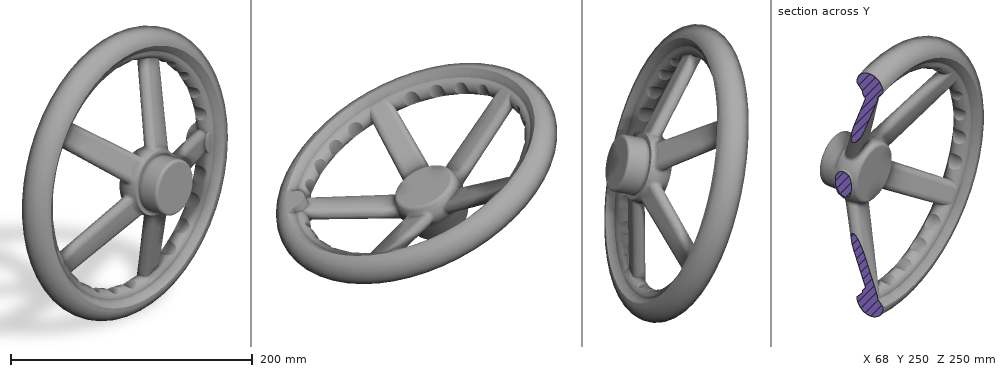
import cadquery as cq
import math


rim_outer_radius = 125.0
grip_radius = 13.6
bead_crest_radius = 105.7
bead_radius = 8.2
grip_centre_radius = rim_outer_radius - grip_radius
rim_mid_x = grip_radius
rim_depth = 2 * grip_radius
rim_inner_radius = bead_crest_radius - bead_radius

spoke_count = 5
spoke_pitch = 360.0 / spoke_count
spoke_slope = 21.0
spoke_thickness = 10.6
spoke_hub_width = 25.2
spoke_rim_width = 22.0
spoke_edge_radius = 5.0
spoke_root_radius = 20.0
spoke_tip_radius = 104.0
spoke_tip_x = 10.8

spoke_hub_fillet = 3.0
joint_front_x = 32.0
joint_rear_x = 47.0

dimples_per_gap = 4
dimple_pitch = 13.5
dimple_radius = 8.0
dimple_bottom_radius = 100.9

boss_centre_radius = 106.0
boss_radius = 11.0
boss_flare_radius = 110.3
boss_flare_half_width = 15.2
boss_depth = 21.0

hub_front_x = 28.5
hub_widest_x = 41.4
hub_shoulder_x = 49.0
hub_end_x = 68.0
hub_front_radius = 25.4
hub_widest_radius = 29.1
hub_shoulder_radius = 27.8
hub_front_fillet = 3.0
neck_diameter = 48.0
neck_end_fillet = 2.5


def make_rim():
    """Revolve the grip, the sloped shoulders and the bead as one profile."""
    bead_front_x = rim_mid_x - bead_radius
    bead_rear_x = rim_mid_x + bead_radius
    profile = (
        cq.Workplane("XY")
        .moveTo(0, grip_centre_radius)
        .threePointArc((rim_mid_x, rim_outer_radius), (rim_depth, grip_centre_radius))
        .lineTo(bead_rear_x, bead_crest_radius)
        .threePointArc((rim_mid_x, rim_inner_radius), (bead_front_x, bead_crest_radius))
        .close()
    )
    return profile.revolve(360, (0, 0, 0), (1, 0, 0))


def make_dimple_cutter():
    """All finger dimples, as cylinders parallel to the wheel axis."""
    centre_radius = dimple_bottom_radius - dimple_radius
    first_offset = -dimple_pitch * (dimples_per_gap - 1) / 2
    points = []
    for gap in range(spoke_count):
        gap_middle = (gap + 0.5) * spoke_pitch
        for index in range(dimples_per_gap):
            angle = math.radians(gap_middle + first_offset + index * dimple_pitch)
            points.append((centre_radius * math.cos(angle), centre_radius * math.sin(angle)))
    return cq.Workplane("YZ").pushPoints(points).circle(dimple_radius).extrude(rim_depth)


def make_hub():
    """Barrel-shaped hub body with a rounded front and a narrower neck behind it."""
    body = (
        cq.Workplane("XY")
        .moveTo(hub_front_x, 0)
        .lineTo(hub_front_x, hub_front_radius)
        .threePointArc((hub_widest_x, hub_widest_radius), (hub_shoulder_x, hub_shoulder_radius))
        .lineTo(hub_shoulder_x, 0)
        .close()
        .revolve(360, (0, 0, 0), (1, 0, 0))
        .faces("<X").edges().fillet(hub_front_fillet)
    )
    neck = (
        cq.Workplane("YZ", origin=(hub_shoulder_x, 0, 0))
        .circle(neck_diameter / 2)
        .extrude(hub_end_x - hub_shoulder_x)
        .faces(">X").edges().fillet(neck_end_fillet)
    )
    return body.union(neck)


def make_spoke():
    """One tapered spoke along +Y, leaning forward from the hub to the rim."""
    slope = math.radians(spoke_slope)
    length = (spoke_tip_radius - spoke_root_radius) / math.cos(slope)
    root_x = spoke_tip_x + length * math.sin(slope)
    root_plane = cq.Plane(
        origin=(root_x, spoke_root_radius, 0),
        xDir=(0, 0, 1),
        normal=(-math.sin(slope), math.cos(slope), 0),
    )
    root = cq.Sketch().rect(spoke_hub_width, spoke_thickness).vertices().fillet(spoke_edge_radius)
    tip = cq.Sketch().rect(spoke_rim_width, spoke_thickness).vertices().fillet(spoke_edge_radius)
    tip_location = cq.Location(cq.Vector(0, 0, length))
    return cq.Workplane(root_plane).placeSketch(root, tip.moved(tip_location)).loft()


def make_handle_boss():
    """Flat-faced boss: a rounded nose that flares out into the grip."""
    nose_radius = boss_centre_radius - boss_radius
    return (
        cq.Workplane("YZ")
        .moveTo(grip_centre_radius, boss_flare_half_width)
        .lineTo(boss_flare_radius, boss_flare_half_width)
        .lineTo(boss_centre_radius, boss_radius)
        .threePointArc((nose_radius, 0), (boss_centre_radius, -boss_radius))
        .lineTo(boss_flare_radius, -boss_flare_half_width)
        .lineTo(grip_centre_radius, -boss_flare_half_width)
        .close()
        .extrude(boss_depth)
    )


def make_spider():
    """Hub and spokes, with the spokes blended into the hub."""
    spider = make_hub()
    spoke = make_spoke()
    for index in range(spoke_count):
        spider = spider.union(spoke.rotate((0, 0, 0), (1, 0, 0), index * spoke_pitch))
    joint_zone = cq.selectors.BoxSelector(
        (joint_front_x, -hub_widest_radius, -hub_widest_radius),
        (joint_rear_x, hub_widest_radius, hub_widest_radius),
        boundingbox=True,
    )
    return spider.edges(joint_zone).fillet(spoke_hub_fillet)


rim = make_rim().cut(make_dimple_cutter())
result = rim.union(make_spider()).union(make_handle_boss())